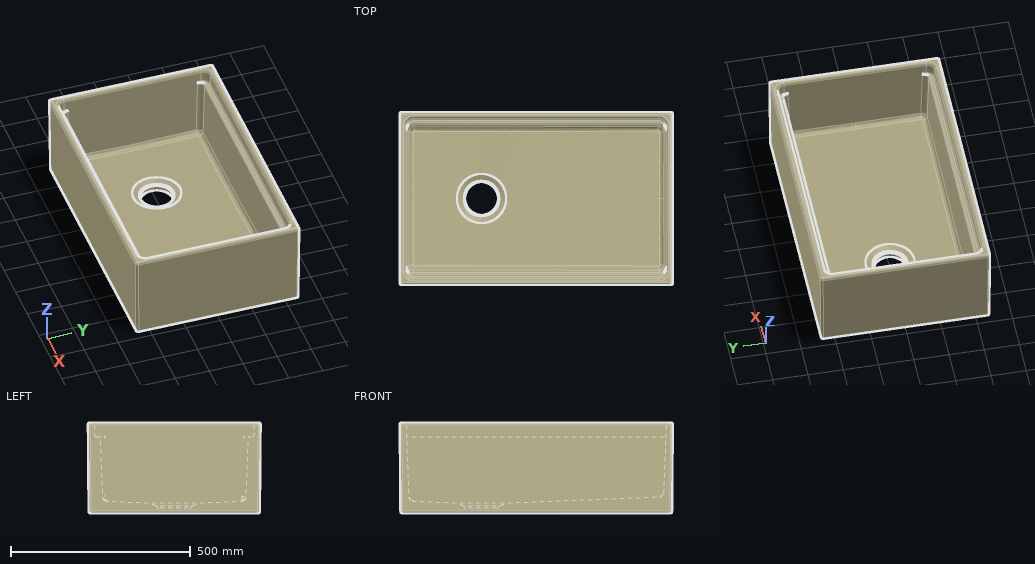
import cadquery as cq
import math

LENGTH = 762.0
WIDTH = 482.0
HEIGHT = 254.0
OUTER_DRAFT = 0.5
OUTER_RADIUS = 7.0

RIM_INSET = 18.0
RIM_RADIUS = 8.0
BASIN_DRAFT = 2.2
OPENING_CORNER_RADIUS = 20.5
LEDGE_DEPTH = 41.0
LEDGE_EDGE_INSET = 35.0
LEDGE_ROOT_RADIUS = 4.5
LEDGE_EDGE_RADIUS = 4.0
BOWL_CORNER_RADIUS = 15.0

FLOOR_SLOPE = 0.04
FLOOR_RADIUS = 13.0

DRAIN_X = -152.5
SEAT_RADIUS = 68.5
SEAT_TOP_Z = 29.0
SEAT_DROP = 8.5
SEAT_INNER_RADIUS = 49.5
DRAIN_HOLE_RADIUS = 46.0
DRAIN_BEVEL_DROP = 4.5

LEDGE_Z = HEIGHT - LEDGE_DEPTH
BASIN_LEAN = math.tan(math.radians(BASIN_DRAFT))


def drafted_block(end_inset, side_inset, top_z, draft):
    """Block down to the underside, sized at its top by insets from the outer walls."""
    return (
        cq.Workplane("XY", origin=(0, 0, top_z))
        .rect(LENGTH - 2 * end_inset, WIDTH - 2 * side_inset)
        .extrude(-top_z, taper=draft)
    )


def rounded_block(block, radius):
    """Round the four upright edges of a drafted block."""
    return block.edges("not(#Z)").fillet(radius)


def above(z):
    """Slab wider than the sink, from height z up to the rim."""
    return cq.Workplane("XY", origin=(0, 0, z)).rect(2 * LENGTH, 2 * WIDTH).extrude(HEIGHT - z)


def turned(profile):
    """Solid turned about the drain axis from (radius, height) points."""
    solid = cq.Workplane("XZ").polyline(profile).close().revolve(360, (0, 0), (0, 1))
    return solid.translate((DRAIN_X, 0, 0))


def make_outer_block():
    rim_growth = OUTER_RADIUS * math.tan(math.radians(OUTER_DRAFT))
    return drafted_block(-rim_growth, -rim_growth, HEIGHT, OUTER_DRAFT).edges().fillet(OUTER_RADIUS)


def make_opening_column():
    """The opening's walls continued down to the underside."""
    return rounded_block(drafted_block(RIM_INSET, RIM_INSET, HEIGHT, BASIN_DRAFT), OPENING_CORNER_RADIUS)


def make_opening():
    """Space above the ledges, rounded along its lower edge."""
    opening = make_opening_column().intersect(above(LEDGE_Z))
    return opening.faces("<Z").edges().fillet(LEDGE_ROOT_RADIUS)


def make_bowl_column(top_z):
    """The bowl's walls from the underside up to height top_z."""
    side_inset = LEDGE_EDGE_INSET - (top_z - LEDGE_Z) * BASIN_LEAN
    end_inset = RIM_INSET + (HEIGHT - top_z) * BASIN_LEAN
    return rounded_block(drafted_block(end_inset, side_inset, top_z, BASIN_DRAFT), BOWL_CORNER_RADIUS)


def make_floor():
    """Material under the floor: its top is a wide shallow cone around the drain."""
    reach = LENGTH
    return turned([
        (0, 0),
        (reach, 0),
        (reach, SEAT_TOP_Z + FLOOR_SLOPE * (reach - SEAT_RADIUS)),
        (0, SEAT_TOP_Z - FLOOR_SLOPE * SEAT_RADIUS),
    ])


def make_bowl():
    """Space between the ledges, from rim height down to the rounded conical floor."""
    bowl = make_bowl_column(HEIGHT).cut(make_floor())
    return bowl.faces("<Z").edges().fillet(FLOOR_RADIUS)


def make_ledge_rounding():
    """Space that rounds the ledge edges: the bowl flaring outwards just below ledge height."""
    below_flare = LEDGE_Z - 2 * LEDGE_EDGE_RADIUS
    flared = make_bowl_column(LEDGE_Z).intersect(above(below_flare)).union(above(LEDGE_Z))
    mouth = cq.selectors.BoxSelector(
        (-LENGTH / 2, -WIDTH / 2, LEDGE_Z - LEDGE_EDGE_RADIUS / 2),
        (LENGTH / 2, WIDTH / 2, LEDGE_Z + LEDGE_EDGE_RADIUS / 2),
    )
    flared = flared.edges(mouth).fillet(LEDGE_EDGE_RADIUS)
    return flared.cut(above(LEDGE_Z)).intersect(make_opening_column())


def make_drain():
    """Conical seat, bevelled inner edge and through hole."""
    seat_bottom_z = SEAT_TOP_Z - SEAT_DROP
    return turned([
        (0, 0),
        (DRAIN_HOLE_RADIUS, 0),
        (DRAIN_HOLE_RADIUS, seat_bottom_z - DRAIN_BEVEL_DROP),
        (SEAT_INNER_RADIUS, seat_bottom_z),
        (SEAT_RADIUS, SEAT_TOP_Z),
        (0, SEAT_TOP_Z),
    ])


def round_rim(sink):
    """Round the edge where the opening meets the flat rim."""
    inside_rim = cq.selectors.BoxSelector(
        (-LENGTH / 2 + OUTER_RADIUS, -WIDTH / 2 + OUTER_RADIUS, HEIGHT - RIM_RADIUS / 2),
        (LENGTH / 2 - OUTER_RADIUS, WIDTH / 2 - OUTER_RADIUS, HEIGHT + RIM_RADIUS / 2),
    )
    return sink.edges(inside_rim).fillet(RIM_RADIUS)


basin = make_opening().union(make_bowl()).union(make_ledge_rounding())
sink = round_rim(make_outer_block().cut(basin))
result = sink.cut(make_drain())